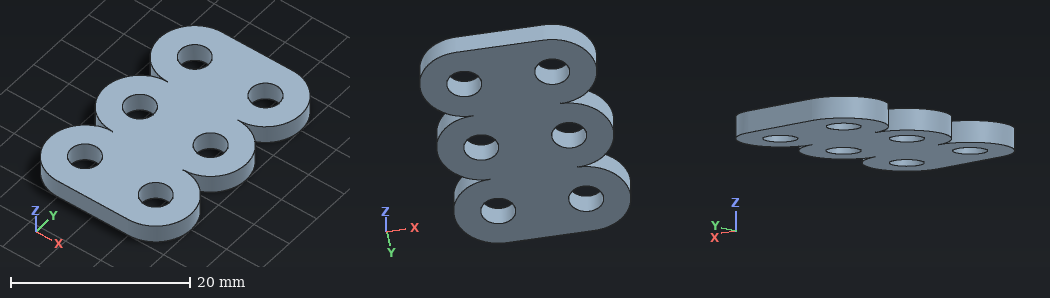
import cadquery as cq

length = 30.0
rows = 3
columns = 2
hole_diameter = 3.9

pitch = length / rows
lobe_radius = pitch / 2
thickness = pitch / 4

column_places = [(i - (columns - 1) / 2) * pitch for i in range(columns)]
row_places = [(i - (rows - 1) / 2) * pitch for i in range(rows)]
hole_centers = [(x, y) for x in column_places for y in row_places]


def plate_outline():
    """Outline with straight ends and one semicircular lobe per row on each side."""
    left = column_places[0]
    right = column_places[-1]
    outline = cq.Workplane("XY").moveTo(left, -length / 2).lineTo(right, -length / 2)
    for y in row_places:
        outline = outline.threePointArc((right + lobe_radius, y), (right, y + lobe_radius))
    outline = outline.lineTo(left, length / 2)
    for y in reversed(row_places):
        outline = outline.threePointArc((left - lobe_radius, y), (left, y - lobe_radius))
    return outline.close()


plate = plate_outline().extrude(thickness)

holes = cq.Workplane("XY").pushPoints(hole_centers).circle(hole_diameter / 2).extrude(thickness)

result = plate.cut(holes)